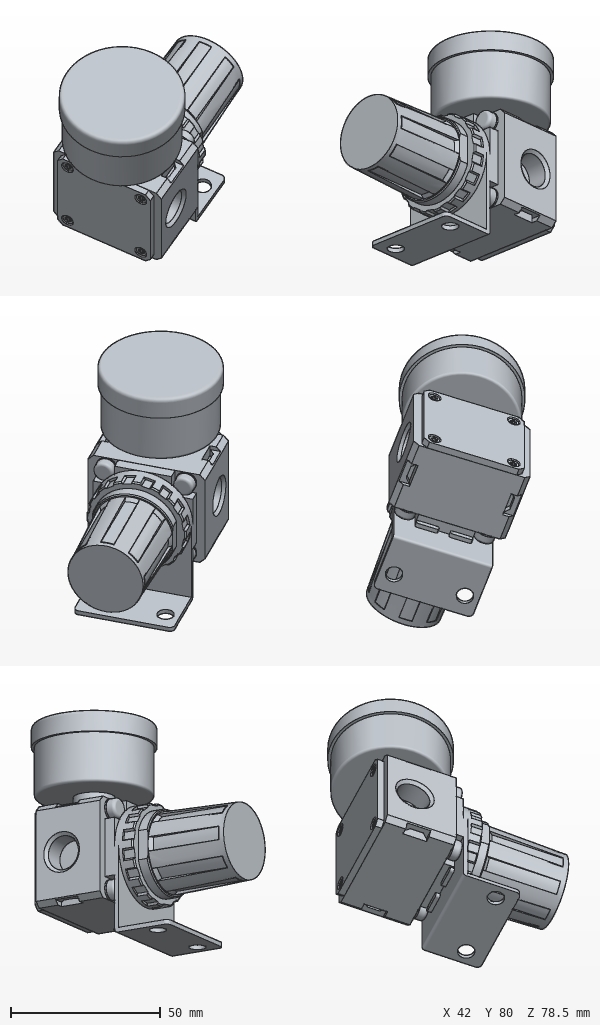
import cadquery as cq


OVERALL_LENGTH = 80.0

BODY_WIDTH = 41.2
BODY_HEIGHT = 35.2
BODY_FRONT = -10.0
BODY_BACK = 15.0
CORNER_CHAMFER = 1.9
BODY_TOP = BODY_HEIGHT / 2

COVER_WIDTH = 35.4
COVER_HEIGHT = 35.0
COVER_FRONT = -12.3
SCREW_SPACING = 28.0
COUNTERSINK_DIA = 4.5
SCREW_DIA = 3.8
CROSS_LENGTH = 2.2
CROSS_WIDTH = 0.8
CROSS_DEPTH = 0.4

PORT_DIA = 11.8
PORT_MOUTH_DIA = 14.0
PORT_DEPTH = 8.4
POCKET_LENGTH = 8.5
POCKET_CENTRE_Y = 1.7
POCKET_HEIGHT = 1.5
POCKET_BACK_X = 16.5
SOCKET_FRONT_X = 18.3
SOCKET_FRONT_LENGTH = 4.5
SOCKET_DEPTH = 2.4

BONNET_SIZE = COVER_HEIGHT
BONNET_BACK = 18.9
BONNET_ARM_WIDTH = 20.0
HEAD_DIA = 7.0
HEAD_FILLET = 1.1
WASHER_DIA = 7.2
WASHER_THICKNESS = 0.6

BEZEL_DIA = 42.0
BEZEL_BOTTOM = 41.0
BEZEL_TOP = 48.5
BEZEL_FILLET = 1.5
CASE_DIA = 40.0
CASE_BOTTOM = 23.7
CASE_FILLET = 1.0
NECK_DIA = 14.0

BRACKET_WIDTH = BONNET_SIZE
BRACKET_THICKNESS = 1.6
BRACKET_BOTTOM = -30.0
BRACKET_BACK = 39.9
BEND_RADIUS = 1.0
FOOT_CORNER_RADIUS = 1.8
FOOT_HOLE_DIA = 5.8
FOOT_HOLE_SPACING = 25.0
FOOT_HOLE_Y = 32.8
LUG_LENGTH = 8.1
LUG_HEIGHT = 2.0
LUG_SPACING = 12.0
LUG_THICKNESS = 1.5

NUT_DIA = BRACKET_WIDTH
NUT_BACK = 26.1
NUT_CHAMFER = 0.5
NOTCH_COUNT = 16
NOTCH_LENGTH = 4.2
NOTCH_FLOOR = 16.6
NOTCH_FLOOR_WIDTH = 2.9
NOTCH_MOUTH_WIDTH = 4.2

COLLAR_DIA = 29.9
COLLAR_FLAT_WIDTH = 28.2
COLLAR_BACK = 29.9
COLLAR_CHAMFER = 0.4
KNOB_BASE_DIA = 28.2
KNOB_END_DIA = 26.4
KNOB_BACK = OVERALL_LENGTH - BEZEL_DIA / 2
FLUTE_COUNT = 8
FLUTE_WIDTH = 4.7
FLUTE_FLOOR_DIA = 26.0
FLUTE_RAMP = 1.4
FLUTE_END_MARGIN = 2.0

SIDES = (-1, 1)


def block(x0, x1, y0, y1, z0, z1):
    return cq.Workplane("XY").box(x1 - x0, y1 - y0, z1 - z0, centered=False).translate((x0, y0, z0))


def plane_facing_back(y):
    """XZ plane at the given Y whose extrusions run toward +Y; local x is -X."""
    return cq.Workplane(cq.Plane(origin=(0, y, 0), xDir=(-1, 0, 0), normal=(0, 1, 0)))


def rod_along_y(dia, y0, y1):
    return plane_facing_back(y0).circle(dia / 2).extrude(y1 - y0)


def chamfered_slab(width, height, y0, y1):
    slab = block(-width / 2, width / 2, y0, y1, -height / 2, height / 2)
    return slab.edges("|Y").chamfer(CORNER_CHAMFER)


def screw_points():
    offset = SCREW_SPACING / 2
    return [(x * offset, z * offset) for x in SIDES for z in SIDES]


def make_port():
    """Cutter for the port in the -X face: a blind bore with a 45 degree mouth."""
    face = cq.Workplane("YZ", origin=(-BODY_WIDTH / 2, 0, 0))
    bore = face.circle(PORT_DIA / 2).extrude(PORT_DEPTH)
    mouth_depth = (PORT_MOUTH_DIA - PORT_DIA) / 2
    mouth = face.circle(PORT_MOUTH_DIA / 2).extrude(mouth_depth, taper=45)
    return bore.union(mouth)


def make_pocket():
    """Cutter for one clip pocket: an edge notch with a tapering socket sunk in its floor."""
    floor_z = BODY_TOP - POCKET_HEIGHT
    back_half = POCKET_LENGTH / 2
    front_half = SOCKET_FRONT_LENGTH / 2
    notch = block(POCKET_BACK_X, BODY_WIDTH / 2, -back_half, back_half, floor_z, BODY_TOP)
    socket = (
        cq.Workplane("XY", origin=(0, 0, floor_z - SOCKET_DEPTH))
        .moveTo(POCKET_BACK_X, -back_half)
        .lineTo(SOCKET_FRONT_X, -front_half)
        .lineTo(SOCKET_FRONT_X, front_half)
        .lineTo(POCKET_BACK_X, back_half)
        .close()
        .extrude(SOCKET_DEPTH)
    )
    return notch.union(socket).translate((0, POCKET_CENTRE_Y, 0))


def make_body():
    body = chamfered_slab(BODY_WIDTH, BODY_HEIGHT, BODY_FRONT, BODY_BACK)
    port = make_port()
    body = body.cut(port).cut(port.mirror("YZ"))
    pocket = make_pocket()
    pockets = pocket.union(pocket.mirror("XY"))
    return body.cut(pockets).cut(pockets.mirror("YZ"))


def make_cover():
    """Front cover with four countersunk, cross-slotted screws."""
    cover = chamfered_slab(COVER_WIDTH, COVER_HEIGHT, COVER_FRONT, BODY_FRONT)
    face = plane_facing_back(COVER_FRONT).pushPoints(screw_points())
    cone_depth = (COUNTERSINK_DIA - SCREW_DIA) / 2
    cover = cover.cut(face.circle(COUNTERSINK_DIA / 2).extrude(cone_depth, taper=45))
    cross_bottom = cone_depth + CROSS_DEPTH
    cover = cover.cut(face.rect(CROSS_LENGTH, CROSS_WIDTH).extrude(cross_bottom))
    return cover.cut(face.rect(CROSS_WIDTH, CROSS_LENGTH).extrude(cross_bottom))


def make_bonnet():
    """Cross-shaped block with a filleted screw head and washer in each corner."""
    half = BONNET_SIZE / 2
    arm = BONNET_ARM_WIDTH / 2
    bonnet = block(-half, half, BODY_BACK, BONNET_BACK, -arm, arm)
    bonnet = bonnet.union(block(-arm, arm, BODY_BACK, BONNET_BACK, -half, half))
    head = rod_along_y(HEAD_DIA, BODY_BACK, BONNET_BACK).faces(">Y").edges().fillet(HEAD_FILLET)
    head = head.union(rod_along_y(WASHER_DIA, BODY_BACK, BODY_BACK + WASHER_THICKNESS))
    for x, z in screw_points():
        bonnet = bonnet.union(head.translate((x, 0, z)))
    return bonnet


def make_gauge():
    """Neck, rounded case and overhanging bezel."""

    def disc(dia, z0, z1):
        return cq.Workplane("XY", origin=(0, 0, z0)).circle(dia / 2).extrude(z1 - z0)

    neck = disc(NECK_DIA, BODY_TOP, CASE_BOTTOM)
    case = disc(CASE_DIA, CASE_BOTTOM, BEZEL_BOTTOM).faces("<Z").edges().fillet(CASE_FILLET)
    bezel = disc(BEZEL_DIA, BEZEL_BOTTOM, BEZEL_TOP).faces(">Z").edges().fillet(BEZEL_FILLET)
    return neck.union(case).union(bezel)


def make_bracket():
    """Upright plate rounded about the knob axis, bent back into a drilled foot."""
    half = BRACKET_WIDTH / 2
    front = BONNET_BACK
    plate_back = front + BRACKET_THICKNESS
    foot_top = BRACKET_BOTTOM + BRACKET_THICKNESS
    upright = block(-half, half, front, plate_back, BRACKET_BOTTOM, 0)
    upright = upright.union(rod_along_y(BRACKET_WIDTH, front, plate_back))
    foot = block(-half, half, front, BRACKET_BACK, BRACKET_BOTTOM, foot_top)
    foot = foot.edges("|Z and >Y").fillet(FOOT_CORNER_RADIUS)
    holes = (
        cq.Workplane("XY", origin=(0, FOOT_HOLE_Y, BRACKET_BOTTOM))
        .rarray(FOOT_HOLE_SPACING, 0.8, 2, 1)
        .circle(FOOT_HOLE_DIA / 2)
        .extrude(BRACKET_THICKNESS)
    )
    bracket = upright.union(foot).edges("|X and <Z and <Y").fillet(BEND_RADIUS).cut(holes)
    lugs = (
        plane_facing_back(front - LUG_THICKNESS)
        .center(0, -(BONNET_SIZE + LUG_HEIGHT) / 2)
        .rarray(LUG_SPACING, 0.8, 2, 1)
        .slot2D(LUG_LENGTH, LUG_HEIGHT)
        .extrude(LUG_THICKNESS)
    )
    return bracket.union(lugs)


def make_nut():
    """Ring nut with flared notches around its chamfered back rim."""
    nut = rod_along_y(NUT_DIA, BONNET_BACK, NUT_BACK).faces(">Y").edges().chamfer(NUT_CHAMFER)
    flare = (NOTCH_MOUTH_WIDTH - NOTCH_FLOOR_WIDTH) / (NUT_DIA / 2 - NOTCH_FLOOR)
    cutter_top = NUT_DIA / 2 + NUT_CHAMFER
    top_half_width = (NOTCH_FLOOR_WIDTH + flare * (cutter_top - NOTCH_FLOOR)) / 2
    notch = (
        plane_facing_back(NUT_BACK - NOTCH_LENGTH)
        .moveTo(-NOTCH_FLOOR_WIDTH / 2, NOTCH_FLOOR)
        .lineTo(NOTCH_FLOOR_WIDTH / 2, NOTCH_FLOOR)
        .lineTo(top_half_width, cutter_top)
        .lineTo(-top_half_width, cutter_top)
        .close()
        .extrude(NOTCH_LENGTH)
    )
    pitch = 360 / NOTCH_COUNT
    for i in range(NOTCH_COUNT):
        nut = nut.cut(notch.rotate((0, 0, 0), (0, 1, 0), (i + 0.5) * pitch))
    return nut


def make_collar():
    """Collar with a flat on each side."""
    collar = rod_along_y(COLLAR_DIA, NUT_BACK, COLLAR_BACK).faces(">Y").edges().chamfer(COLLAR_CHAMFER)
    half_width = COLLAR_FLAT_WIDTH / 2
    half_height = COLLAR_DIA / 2
    flats = block(-half_width, half_width, NUT_BACK, COLLAR_BACK, -half_height, half_height)
    return collar.intersect(flats)


def make_knob():
    """Tapered grip with flutes that ramp out to the surface at the collar."""
    base_radius = KNOB_BASE_DIA / 2
    end_radius = KNOB_END_DIA / 2
    floor_radius = FLUTE_FLOOR_DIA / 2
    axis = ((0, 0, 0), (0, 1, 0))
    knob = (
        cq.Workplane("XY")
        .polyline([(0, COLLAR_BACK), (base_radius, COLLAR_BACK), (end_radius, KNOB_BACK), (0, KNOB_BACK)])
        .close()
        .revolve(360, *axis)
    )
    flute_back = KNOB_BACK - FLUTE_END_MARGIN
    flute_ring = (
        cq.Workplane("XY")
        .moveTo(base_radius, COLLAR_BACK)
        .lineTo(floor_radius, COLLAR_BACK + FLUTE_RAMP)
        .lineTo(floor_radius, flute_back)
        .lineTo(base_radius, flute_back)
        .close()
        .revolve(360, *axis)
    )
    half_at_base = FLUTE_WIDTH / 2 * base_radius / end_radius
    wedge = (
        plane_facing_back(COLLAR_BACK)
        .lineTo(half_at_base, base_radius)
        .lineTo(-half_at_base, base_radius)
        .close()
        .extrude(KNOB_BACK - COLLAR_BACK)
    )
    flute = flute_ring.intersect(wedge)
    for i in range(FLUTE_COUNT):
        knob = knob.cut(flute.rotate((0, 0, 0), (0, 1, 0), i * 360 / FLUTE_COUNT))
    return knob


result = (
    make_body()
    .union(make_cover())
    .union(make_bonnet())
    .union(make_gauge())
    .union(make_bracket())
    .union(make_nut())
    .union(make_collar())
    .union(make_knob())
)